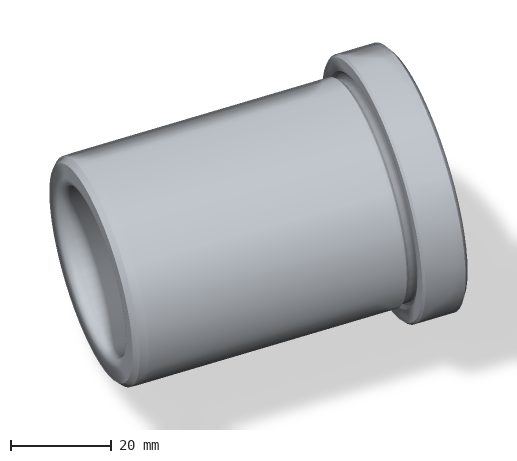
import cadquery as cq

total_length = 70.0
head_length = 10.0
head_radius = 28.0
head_back_taper = 1.4
head_back_bevel = 1.0
head_front_chamfer = 0.5

body_radius = 24.0
lead_radius = 23.95
lead_length = 3.0
nose_chamfer = 1.1

neck_radius = 23.45
neck_length = 1.4
shoulder_length = 0.55
undercut_radius = 24.7
undercut_floor_radius = 24.0
undercut_depth = 0.7

bore_radius = 17.5
bore_round = 2.0

back_y = head_length
nose_y = head_length - total_length

half_section = (
    cq.Workplane("XY")
    .moveTo(bore_radius, back_y)
    .lineTo(head_radius - head_back_taper, back_y)
    .lineTo(head_radius, back_y - head_back_bevel)
    .lineTo(head_radius, head_front_chamfer)
    .lineTo(head_radius - head_front_chamfer, 0)
    .lineTo(undercut_radius, 0)
    .lineTo(undercut_floor_radius, undercut_depth)
    .lineTo(neck_radius, undercut_depth)
    .lineTo(neck_radius, -neck_length)
    .lineTo(body_radius, -neck_length - shoulder_length)
    .lineTo(body_radius, nose_y + lead_length)
    .lineTo(lead_radius, nose_y + nose_chamfer)
    .lineTo(lead_radius - nose_chamfer, nose_y)
    .lineTo(bore_radius + bore_round, nose_y)
    .radiusArc((bore_radius, nose_y + bore_round), bore_round)
    .close()
)

result = half_section.revolve(360, (0, 0, 0), (0, 1, 0))